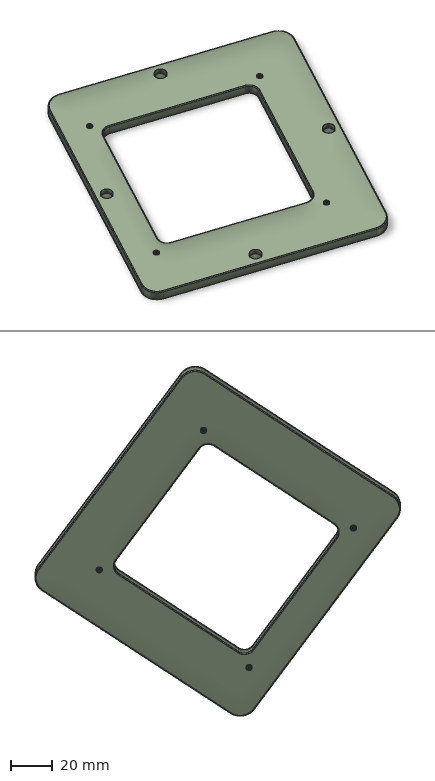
import cadquery as cq

plate_length = 136.6
plate_width = 126.6
plate_thickness = 6.0
plate_corner_radius = 8.3
edge_chamfer = 0.5

window_side = 80.0
window_corner_radius = 5.0
window_centre_y = -5.0
rim_chamfer = 0.5

screw_hole_spacing_x = 87.5
screw_hole_spacing_y = 87.8
thread_minor_diameter = 2.52
thread_major_diameter = 3.02
thread_pitch = 0.5
thread_start_angle = 315
groove_mouth_width = 0.42
groove_root_width = 0.06
groove_overlap = 0.1

pocket_diameter = 6.2
pocket_depth = 3.2
pocket_edge_distance = 6.0


def rounded_block(length, width, corner_radius):
    """Block of plate thickness with rounded vertical corners."""
    block = cq.Workplane("XY").box(length, width, plate_thickness, centered=(True, True, False))
    return block.edges("|Z").fillet(corner_radius)


def make_plate():
    """Outer plate, chamfered around its top and bottom edges."""
    plate = rounded_block(plate_length, plate_width, plate_corner_radius)
    return plate.faces("<Z or >Z").edges().chamfer(edge_chamfer)


def cut_window(body):
    """Through window with its top and bottom rims chamfered."""
    window = rounded_block(window_side, window_side, window_corner_radius)
    body = body.cut(window.translate((0, window_centre_y, 0)))
    reach = window_side / 2 + rim_chamfer
    rim_box = cq.selectors.BoxSelector(
        (-reach, window_centre_y - reach, -rim_chamfer),
        (reach, window_centre_y + reach, plate_thickness + rim_chamfer),
        boundingbox=True,
    )
    return body.faces("<Z or >Z").edges(rim_box).chamfer(rim_chamfer)


def make_thread_cutter():
    """Bore of minor diameter joined with a helical groove out to the major diameter."""
    minor_radius = thread_minor_diameter / 2
    major_radius = thread_major_diameter / 2
    bore = cq.Workplane("XY").circle(minor_radius).extrude(plate_thickness)

    helix_height = plate_thickness + 2 * thread_pitch
    helix = cq.Workplane(cq.Wire.makeHelix(thread_pitch, helix_height, minor_radius))
    groove_profile = [
        (minor_radius - groove_overlap, -groove_mouth_width / 2),
        (major_radius, -groove_root_width / 2),
        (major_radius, groove_root_width / 2),
        (minor_radius - groove_overlap, groove_mouth_width / 2),
    ]
    groove = cq.Workplane("XZ").polyline(groove_profile).close().sweep(helix, isFrenet=True)
    groove = groove.translate((0, 0, -thread_pitch))
    groove = groove.rotate((0, 0, 0), (0, 0, 1), thread_start_angle)
    trim = cq.Workplane("XY").circle(thread_major_diameter).extrude(plate_thickness)
    return bore.union(groove.intersect(trim))


def cut_screw_holes(body):
    """Four threaded through holes in a rectangular pattern outside the window corners."""
    cutter = make_thread_cutter()
    for x_side in (-1, 1):
        for y_side in (-1, 1):
            hole_x = x_side * screw_hole_spacing_x / 2
            hole_y = window_centre_y + y_side * screw_hole_spacing_y / 2
            body = body.cut(cutter.translate((hole_x, hole_y, 0)))
    return body


def cut_pockets(body):
    """Four blind pockets in the top face, side ones level with the window centre."""
    pocket_x = plate_length / 2 - pocket_edge_distance
    pocket_y = plate_width / 2 - pocket_edge_distance
    centres = [
        (-pocket_x, window_centre_y),
        (pocket_x, window_centre_y),
        (0, -pocket_y),
        (0, pocket_y),
    ]
    pockets = (
        cq.Workplane("XY", origin=(0, 0, plate_thickness - pocket_depth))
        .pushPoints(centres)
        .circle(pocket_diameter / 2)
        .extrude(pocket_depth)
    )
    return body.cut(pockets)


result = make_plate()
result = cut_window(result)
result = cut_screw_holes(result)
result = cut_pockets(result)